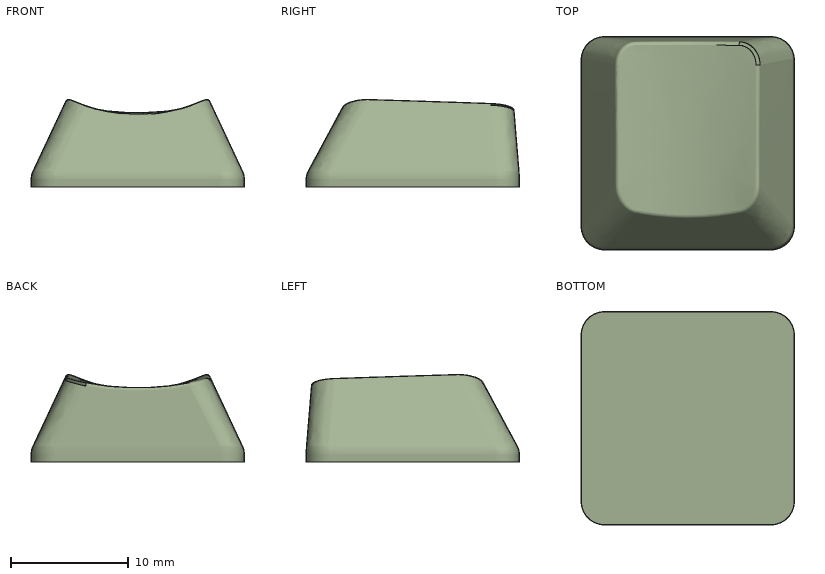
import cadquery as cq
import math

KEY_WIDTH = 18.16
SKIRT_HEIGHT = 0.66
BEND_HEIGHT = 0.67
BEND_TOP = SKIRT_HEIGHT + BEND_HEIGHT
FOOT_CORNER_RADIUS = 2.0
WALL_CORNER_RADIUS = 1.87

SIDE_LEAN = math.radians(25.65)
FRONT_LEAN = math.radians(28.3)
BACK_LEAN = math.radians(4.7)

BLOCK_FRONT_HEIGHT = 8.2
BLOCK_BACK_HEIGHT = 7.75
BLOCK_CORNER_RADIUS = 1.95

DISH_FRONT_RADIUS = 12.0
DISH_FRONT_BOTTOM = 6.115
DISH_BACK_RADIUS = 25.5
DISH_BACK_BOTTOM = 6.35
DISH_HALF_WIDTH = 8.5
DISH_CEILING = 12.0

RIM_RADIUS = 0.3


def wall_inset(lean, height):
    """Distance a wall has moved in from the skirt at a height: an arc, then a straight slope."""
    bend_radius = BEND_HEIGHT / math.sin(lean)
    bend_rise = min(height, BEND_TOP) - SKIRT_HEIGHT
    on_bend = bend_radius - math.sqrt(bend_radius**2 - bend_rise**2)
    on_slope = max(height - BEND_TOP, 0) * math.tan(lean)
    return on_bend + on_slope


def key_section(front_height, back_height, corner_radius):
    """Rounded rectangle between the four walls, tilted if its front and back heights differ."""
    mid_height = (front_height + back_height) / 2
    front_y = wall_inset(FRONT_LEAN, front_height) - KEY_WIDTH / 2
    back_y = KEY_WIDTH / 2 - wall_inset(BACK_LEAN, back_height)
    width = KEY_WIDTH - 2 * wall_inset(SIDE_LEAN, mid_height)
    length = math.hypot(back_y - front_y, back_height - front_height)
    tilt = math.degrees(math.atan2(back_height - front_height, back_y - front_y))
    centre = cq.Vector(0, (front_y + back_y) / 2, mid_height)
    outline = cq.Sketch().rect(width, length).vertices().fillet(corner_radius)
    return outline.moved(cq.Location(centre, cq.Vector(1, 0, 0), tilt))


def bend_section(bend_fraction):
    """Level section of the bend; its corners tighten evenly from the skirt up to the walls."""
    height = SKIRT_HEIGHT + bend_fraction * BEND_HEIGHT
    corner_change = WALL_CORNER_RADIUS - FOOT_CORNER_RADIUS
    return key_section(height, height, FOOT_CORNER_RADIUS + bend_fraction * corner_change)


def make_block():
    """Skirt, bend and leaning walls, not yet dished."""
    skirt = cq.Workplane("XY").rect(KEY_WIDTH, KEY_WIDTH).extrude(SKIRT_HEIGHT)
    skirt = skirt.edges("|Z").fillet(FOOT_CORNER_RADIUS)

    bend_sections = [bend_section(0), bend_section(0.5), bend_section(1)]
    bend = cq.Workplane("XY").placeSketch(*bend_sections).loft()

    block_top = key_section(BLOCK_FRONT_HEIGHT, BLOCK_BACK_HEIGHT, BLOCK_CORNER_RADIUS)
    walls = cq.Workplane("XY").placeSketch(bend_section(1), block_top).loft(ruled=True)
    return skirt.union(bend).union(walls)


def dish_section(y, radius, bottom):
    """Closed wire across the key at y: an arc below, straight sides and a flat ceiling."""
    edge_height = bottom + radius - math.sqrt(radius**2 - DISH_HALF_WIDTH**2)
    return (
        cq.Workplane("XZ", origin=(0, y, 0))
        .moveTo(-DISH_HALF_WIDTH, edge_height)
        .threePointArc((0, bottom), (DISH_HALF_WIDTH, edge_height))
        .lineTo(DISH_HALF_WIDTH, DISH_CEILING)
        .lineTo(-DISH_HALF_WIDTH, DISH_CEILING)
        .close()
        .val()
    )


def make_dish_cutter():
    front = dish_section(-KEY_WIDTH / 2, DISH_FRONT_RADIUS, DISH_FRONT_BOTTOM)
    back = dish_section(KEY_WIDTH / 2, DISH_BACK_RADIUS, DISH_BACK_BOTTOM)
    return cq.Workplane(cq.Solid.makeLoft([front, back], True))


def round_rim(key):
    """Round the closed edge where the dish meets the walls and their corners."""
    half = KEY_WIDTH / 2
    above_bend = BEND_TOP + BEND_HEIGHT
    rim_zone = cq.selectors.BoxSelector(
        (-half, -half, above_bend), (half, half, BLOCK_FRONT_HEIGHT), boundingbox=True
    )
    return key.edges(rim_zone).fillet(RIM_RADIUS)


result = round_rim(make_block().cut(make_dish_cutter()))